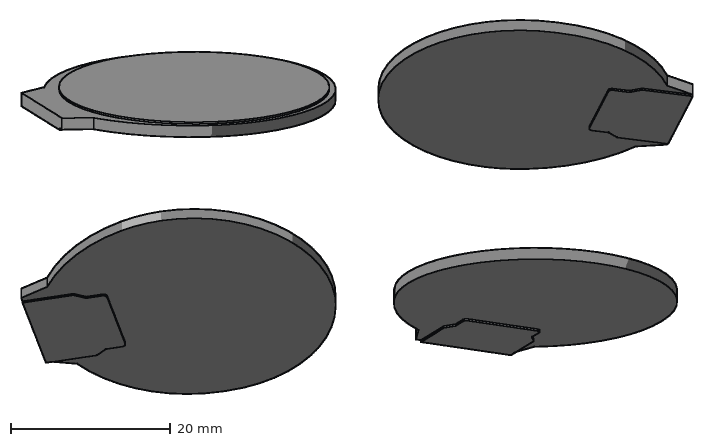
import cadquery as cq
import math

body_diameter = 35.6
body_thickness = 1.5
face_radius = 17.0
step_height = 0.25
overall_length = 38.55
tab_end_half_width = 6.65
tab_root_half_width = 8.05
tab_length = 3.7
pad_width = 12.57
pad_length = 10.6
pad_shoulder_start = 6.6
pad_neck_start = 8.0
pad_neck_inset = 0.95
pad_corner_radius = 0.5
right_swell_angle = math.radians(17.2)
left_flat_length = 0.7

body_radius = body_diameter / 2
tab_end_y = body_radius - overall_length
tab_root_y = tab_end_y + tab_length

swell_run = body_radius - tab_root_half_width
swell_drop = -left_flat_length - tab_root_y
left_swell_radius = (swell_run**2 + swell_drop**2) / (2 * swell_run)
half_sweep = math.asin(swell_drop / left_swell_radius) / 2
left_swell_middle = (
    -body_radius + left_swell_radius * (1 - math.cos(half_sweep)),
    -left_flat_length - left_swell_radius * math.sin(half_sweep),
)

body = (
    cq.Workplane("XY")
    .moveTo(-body_radius, 0)
    .threePointArc((0, body_radius), (body_radius, 0))
    .threePointArc(
        (body_radius * math.cos(right_swell_angle / 2), -body_radius * math.sin(right_swell_angle / 2)),
        (body_radius * math.cos(right_swell_angle), -body_radius * math.sin(right_swell_angle)),
    )
    .tangentArcPoint((tab_root_half_width, tab_root_y), relative=False)
    .lineTo(tab_end_half_width, tab_end_y)
    .lineTo(-tab_end_half_width, tab_end_y)
    .lineTo(-tab_root_half_width, tab_root_y)
    .threePointArc(left_swell_middle, (-body_radius, -left_flat_length))
    .close()
    .extrude(body_thickness)
)

face = cq.Workplane("XY").workplane(offset=body_thickness).circle(face_radius).extrude(step_height)

pad_left = -tab_end_half_width
pad_right = pad_left + pad_width
shoulder_y = tab_end_y + pad_shoulder_start
neck_y = tab_end_y + pad_neck_start
pad = (
    cq.Workplane("XY")
    .workplane(offset=-step_height)
    .moveTo(pad_left, tab_end_y)
    .lineTo(pad_right, tab_end_y)
    .lineTo(pad_right, shoulder_y)
    .lineTo(pad_right - pad_neck_inset, neck_y)
    .lineTo(pad_right - pad_neck_inset, tab_end_y + pad_length)
    .lineTo(pad_left + pad_neck_inset, tab_end_y + pad_length)
    .lineTo(pad_left + pad_neck_inset, neck_y)
    .lineTo(pad_left, shoulder_y)
    .close()
    .extrude(step_height)
    .edges("|Z and >Y")
    .fillet(pad_corner_radius)
)

result = body.union(face).union(pad)